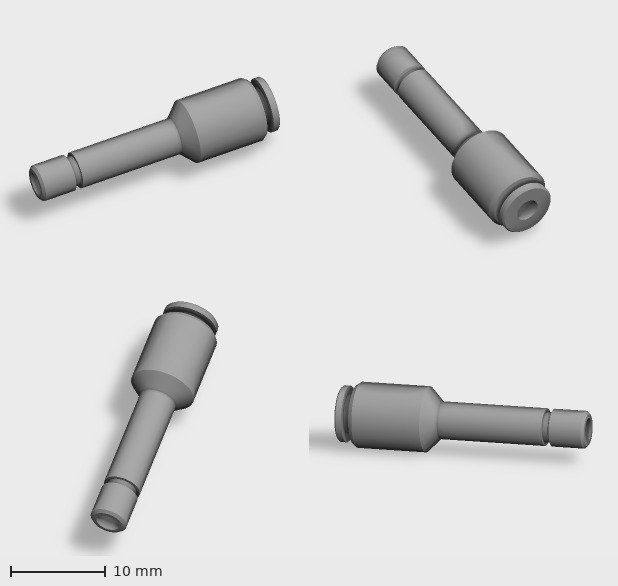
import cadquery as cq

total_length = 27.0
start_y = -total_length / 2
end_y = total_length / 2

stem_radius = 2.0
stem_tip_chamfer = 0.3
plug_length = 3.8
groove_radius = 1.62
groove_end = 4.6
groove_cone_length = 0.2

body_radius = 7.0 / 2
body_taper_start = 9.48
body_taper_length = body_radius - stem_radius
body_face = 1.6
body_chamfer_length = 0.45
body_chamfer_depth = 0.35
body_face_inner = 1.45

collar_radius = 3.0
collar_chamfer = 0.15
collar_thickness = 0.78
neck_radius = 1.85
neck_cone_length = 0.22
neck_cone_radius = neck_radius + neck_cone_length

bore_radius = 1.255


def make_outer_solid():
    """Revolve the half outline, given as (radius, y), about the Y axis."""
    plug_y = start_y + plug_length
    groove_end_y = start_y + groove_end
    stem_points = [
        (0, start_y),
        (stem_radius - stem_tip_chamfer, start_y),
        (stem_radius, start_y + stem_tip_chamfer),
        (stem_radius, plug_y),
        (groove_radius, plug_y + groove_cone_length),
        (groove_radius, groove_end_y),
        (stem_radius, groove_end_y),
    ]
    body_points = [
        (stem_radius, end_y - body_taper_start - body_taper_length),
        (body_radius, end_y - body_taper_start),
        (body_radius, end_y - body_face - body_chamfer_length),
        (body_radius - body_chamfer_depth, end_y - body_face),
        (neck_radius, end_y - body_face_inner),
    ]
    collar_points = [
        (neck_radius, end_y - collar_thickness - neck_cone_length),
        (neck_cone_radius, end_y - collar_thickness),
        (collar_radius, end_y - collar_thickness),
        (collar_radius, end_y - collar_chamfer),
        (collar_radius - collar_chamfer, end_y),
        (0, end_y),
    ]
    outline = cq.Workplane("XY").polyline(stem_points + body_points + collar_points).close()
    return outline.revolve(360, (0, 0, 0), (0, 1, 0))


def make_bore():
    """Cylinder that opens the part from end to end."""
    return cq.Workplane("XZ", origin=(0, end_y, 0)).circle(bore_radius).extrude(total_length)


result = make_outer_solid().cut(make_bore())